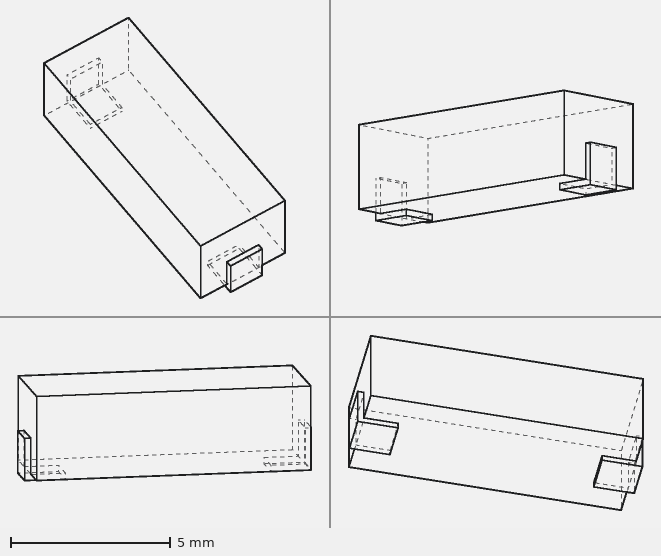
import cadquery as cq

overall_length = 9.15
body_width = 3.2
overall_height = 2.9

strip_thickness = 0.2
strip_width = 1.2
terminal_height = 1.35
foot_length = 1.3

body_length = overall_length - 2 * strip_thickness
body_height = overall_height - strip_thickness


def make_body():
    """Plain rectangular block, centred in X and Y, with its underside on the feet."""
    return (
        cq.Workplane("XY")
        .workplane(offset=strip_thickness)
        .rect(body_length, body_width)
        .extrude(body_height)
    )


def make_terminal(side):
    """L-shaped terminal at the +X end (side = 1) or the -X end (side = -1)."""
    outer_x = side * overall_length / 2
    inner_x = side * body_length / 2
    foot_tip_x = side * (overall_length / 2 - foot_length)
    return (
        cq.Workplane("XZ")
        .moveTo(outer_x, 0)
        .lineTo(outer_x, terminal_height)
        .lineTo(inner_x, terminal_height)
        .lineTo(inner_x, strip_thickness)
        .lineTo(foot_tip_x, strip_thickness)
        .lineTo(foot_tip_x, 0)
        .close()
        .extrude(strip_width / 2, both=True)
    )


body = make_body()
terminals = [make_terminal(side) for side in (-1, 1)]

result = cq.Compound.makeCompound([body.val(), *[terminal.val() for terminal in terminals]])